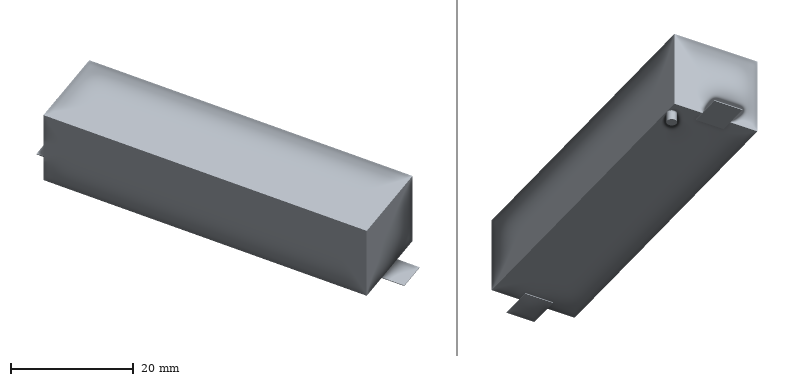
import cadquery as cq

overall_length = 68.3
housing_length = 60.0
housing_width = 15.6
housing_height = 14.0

tab_length = 6.15
tab_width = 5.2
tab_thickness = 0.15

pin_diameter = 1.8
pin_length = 1.8
pin_x = -27.45
pin_y = 6.8


def make_housing():
    return cq.Workplane("XY").box(
        housing_length, housing_width, housing_height, centered=(True, True, False)
    )


def make_tab(side):
    """Tab at the -X end (side = -1) or the +X end (side = 1)."""
    center_x = side * (overall_length - tab_length) / 2
    return (
        cq.Workplane("XY")
        .center(center_x, 0)
        .rect(tab_length, tab_width)
        .extrude(-tab_thickness)
    )


def make_pin():
    return (
        cq.Workplane("XY")
        .center(pin_x, pin_y)
        .circle(pin_diameter / 2)
        .extrude(-pin_length)
    )


housing = make_housing()
tabs = [make_tab(side) for side in (-1, 1)]
pin = make_pin()

result = cq.Compound.makeCompound([housing.val(), *[tab.val() for tab in tabs], pin.val()])